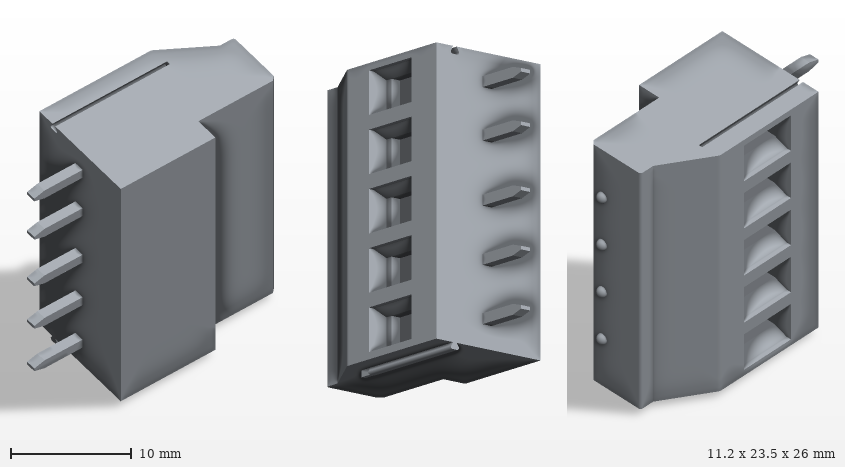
import cadquery as cq
import math


pole_count = 5
housing_height = 25.4
pole_pitch = housing_height / pole_count
housing_width = 11.2
housing_depth = 17.97
tower_left = 3.0
tower_right = 8.87
step_y = 9.83
slope_start_y = 11.62
slope_end_y = 16.48
tower_left_radius = 0.25
tower_right_chamfer = 0.4
slope_foot_radius = 0.7

entry_low_y = 3.25
entry_high_y = 8.8
entry_mouth_height = 3.82
entry_throat_height = 2.75
entry_lip_depth = 0.52
entry_depth = 1.9
clamp_high_y = 8.1
clamp_depth = 2.78

pin_width = 1.0
pin_thickness = 0.94
pin_length = 5.02
pin_taper_length = 1.07
pin_tip_thickness = 0.3
pin_left = 4.97
shifted_pin = 3
pin_shift = 0.5

bump_radius = 0.52
bump_x = 7.44

rail_x = 2.0
rail_neck_width = 0.4
rail_head_width = 0.88
rail_corner_radius = 0.2
overall_height = 26.0
rail_height = overall_height - housing_height
rail_head_end_y = 10.8
rail_end_y = 11.9
groove_depth = 0.68


def make_housing():
    outline = [
        (0, 0),
        (housing_width, 0),
        (housing_width, step_y),
        (tower_right, step_y),
        (tower_right, housing_depth),
        (tower_left, housing_depth),
        (tower_left, slope_end_y),
        (0, slope_start_y),
    ]
    housing = cq.Workplane("XY").polyline(outline).close().extrude(housing_height)

    def upright_edge(x, y):
        return cq.selectors.NearestToPointSelector((x, y, housing_height / 2))

    return (
        housing
        .edges(upright_edge(tower_right, housing_depth))
        .chamfer(tower_right_chamfer)
        .edges(upright_edge(tower_left, housing_depth))
        .fillet(tower_left_radius)
        .edges(upright_edge(0, slope_start_y))
        .fillet(slope_foot_radius)
    )


def make_wire_entry(center_z):
    """Funnel narrowing in Z, with a clamp pocket, narrower in Y, behind it."""
    mouth = entry_mouth_height / 2
    throat = entry_throat_height / 2
    funnel = (
        cq.Workplane("XZ", origin=(0, entry_high_y, center_z))
        .polyline([
            (0, -mouth),
            (entry_lip_depth, -mouth),
            (entry_depth, -throat),
            (entry_depth, throat),
            (entry_lip_depth, mouth),
            (0, mouth),
        ])
        .close()
        .extrude(entry_high_y - entry_low_y)
    )
    clamp_pocket = cq.Workplane(
        origin=(0, entry_low_y, center_z - throat)
    ).box(clamp_depth, clamp_high_y - entry_low_y, entry_throat_height, centered=False)
    return funnel.union(clamp_pocket)


def make_pin(center_z):
    """Flat pin whose end tapers in thickness only."""
    half = pin_thickness / 2
    half_tip = pin_tip_thickness / 2
    taper_y = pin_taper_length - pin_length
    return (
        cq.Workplane("YZ", origin=(pin_left, 0, center_z))
        .polyline([
            (0, -half),
            (taper_y, -half),
            (-pin_length, -half_tip),
            (-pin_length, half_tip),
            (taper_y, half),
            (0, half),
        ])
        .close()
        .extrude(pin_width)
    )


def make_bump(center_z):
    return cq.Workplane(origin=(bump_x, housing_depth, center_z)).sphere(bump_radius)


def make_dovetail(top_z, depth, length):
    """Bar along Y that flares downwards from its neck to a rounded head."""
    neck = rail_neck_width / 2
    head = rail_head_width / 2
    flat = head - rail_corner_radius
    flare_z = rail_corner_radius - depth
    corner_offset = rail_corner_radius * math.sqrt(0.5)
    return (
        cq.Workplane("XZ", origin=(rail_x, length, top_z))
        .moveTo(-neck, 0)
        .lineTo(neck, 0)
        .lineTo(head, flare_z)
        .threePointArc((flat + corner_offset, flare_z - corner_offset), (flat, -depth))
        .lineTo(-flat, -depth)
        .threePointArc((-flat - corner_offset, flare_z - corner_offset), (-head, flare_z))
        .close()
        .extrude(length)
    )


def make_rail():
    head = make_dovetail(0, rail_height, rail_head_end_y)
    neck = cq.Workplane(origin=(rail_x - rail_neck_width / 2, 0, -rail_height)).box(
        rail_neck_width, rail_end_y, rail_height, centered=False
    )
    return head.union(neck)


result = make_housing()
result = result.cut(make_dovetail(housing_height, groove_depth, rail_end_y))
result = result.union(make_rail())

for pole in range(pole_count):
    pole_z = (pole + 0.5) * pole_pitch
    pin_z = pole_z + (pin_shift if pole == shifted_pin else 0)
    result = result.cut(make_wire_entry(pole_z))
    result = result.union(make_pin(pin_z))

for joint in range(1, pole_count):
    result = result.union(make_bump(joint * pole_pitch))